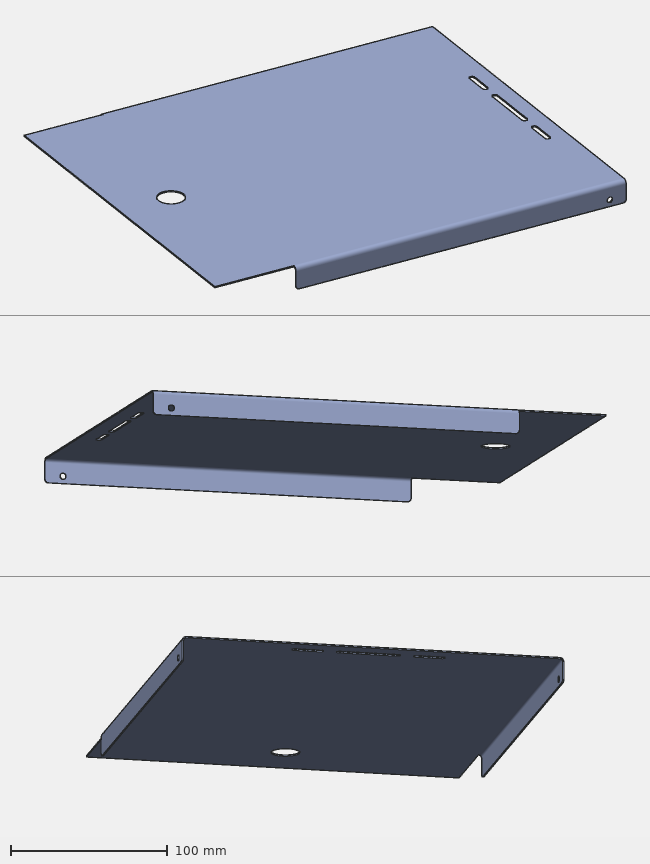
import cadquery as cq

width = 249.0
length = 301.0
height = 16.0
thickness = 0.95
bend_radius = 3.0
flange_length = 243.0
flange_corner_radius = 2.5

slot_width = 4.0
slot_back_distance = 13.8
middle_slot_length = 41.5
side_slot_length = 20.5
side_slot_offset = 39.7

finger_hole_diameter = 18.5
finger_hole_front_distance = 38.0
pivot_diameter = 4.0
pivot_back_distance = 12.0
pivot_height = 4.8

back = length / 2
front = -length / 2
panel_width = width - 2 * bend_radius


def make_panel():
    """Flat panel between the two folds, over the full length."""
    return cq.Workplane("XY").box(
        panel_width, length, thickness, centered=(True, True, False)
    ).translate((0, 0, height - thickness))


def make_channel():
    """Downward-open channel with rounded folds and rounded lower flange corners."""
    outer = (
        cq.Workplane("XY")
        .box(width, flange_length, height, centered=(True, True, False))
        .edges("|Y and >Z")
        .fillet(bend_radius)
    )
    inner = (
        cq.Workplane("XY")
        .box(width - 2 * thickness, flange_length, height - thickness, centered=(True, True, False))
        .edges("|Y and >Z")
        .fillet(bend_radius - thickness)
    )
    channel = outer.cut(inner).edges("|X and <Z and (<Y or >Y)")
    return channel.fillet(flange_corner_radius).translate((0, back - flange_length / 2, 0))


def make_slot(x, slot_length):
    """Cutter for a round-ended slot centred at x in the slot row."""
    return (
        cq.Workplane("XY")
        .center(x, back - slot_back_distance)
        .slot2D(slot_length, slot_width)
        .extrude(2 * height)
    )


def make_finger_hole():
    """Cutter for the large hole near the front edge."""
    return (
        cq.Workplane("XY")
        .center(0, front + finger_hole_front_distance)
        .circle(finger_hole_diameter / 2)
        .extrude(2 * height)
    )


def make_pivot_holes():
    """Cutter for the aligned holes through both flanges."""
    return (
        cq.Workplane("YZ")
        .center(back - pivot_back_distance, pivot_height)
        .circle(pivot_diameter / 2)
        .extrude(width, both=True)
    )


result = make_channel().union(make_panel())
result = result.cut(make_slot(0, middle_slot_length))
for side in (-1, 1):
    result = result.cut(make_slot(side * side_slot_offset, side_slot_length))
result = result.cut(make_finger_hole()).cut(make_pivot_holes())